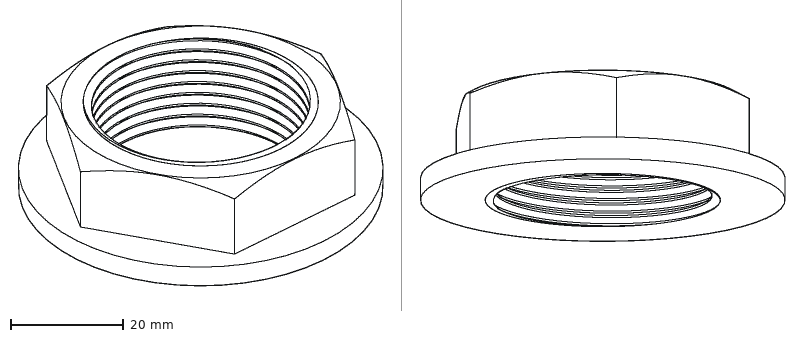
import cadquery as cq
import math

flange_diameter = 65.0
flange_thickness = 4.0
total_height = 18.0
hex_across_flats = 50.0
hex_corner_radius = hex_across_flats / 2 / math.cos(math.radians(30))

crown_radius = 49.8 / 2
crown_slope = math.radians(30)

bore_radius = 41.91 / 2
crest_radius = 38.952 / 2
pitch = 2.309
flank_angle = math.radians(55 / 2)
crest_width = pitch / 6
root_width = crest_width + 2 * (bore_radius - crest_radius) * math.tan(flank_angle)
top_crest_angle = 14.0


def crown_blank():
    """Turned blank whose conical top edge bevels the hexagon corners."""
    drop = (hex_corner_radius - crown_radius) * math.tan(crown_slope)
    return (
        cq.Workplane("XZ")
        .lineTo(hex_corner_radius, 0)
        .lineTo(hex_corner_radius, total_height - drop)
        .lineTo(crown_radius, total_height)
        .lineTo(0, total_height)
        .close()
        .revolve(360, (0, 0, 0), (0, 1, 0))
    )


def make_nut():
    """Crowned hexagon on a round flange, with a plain bore for the thread ridge."""
    hexagon = (
        cq.Workplane("XY")
        .transformed(rotate=(0, 0, 30))
        .polygon(6, 2 * hex_corner_radius)
        .extrude(total_height)
        .intersect(crown_blank())
    )
    flange = cq.Workplane("XY").circle(flange_diameter / 2).extrude(flange_thickness)
    bore = cq.Workplane("XY").circle(bore_radius).extrude(total_height)
    return flange.union(hexagon).cut(bore)


def helical_ridge(turns):
    """Right-hand trapezoidal ridge, centred on the X axis at z = 0 where it starts."""
    rise = turns * pitch
    corners = [
        (bore_radius, -root_width / 2),
        (bore_radius, root_width / 2),
        (crest_radius, crest_width / 2),
        (crest_radius, -crest_width / 2),
    ]
    edges = [
        cq.Wire.makeHelix(pitch, rise, radius, cq.Vector(0, 0, z)).Edges()[0]
        for radius, z in corners
    ]
    sides = [cq.Face.makeRuledSurface(edges[i - 1], edges[i]) for i in range(len(edges))]
    start_outline = cq.Wire.makePolygon([cq.Vector(radius, 0, z) for radius, z in corners], close=True)
    start_cap = cq.Face.makeFromWires(start_outline)
    end_cap = start_cap.translate(cq.Vector(0, 0, rise))
    return cq.Solid.makeSolid(cq.Shell.makeShell([*sides, start_cap, end_cap])).fix()


def make_thread():
    """Thread ridge lining the bore, trimmed flush with both ends of the nut."""
    turns_below_top = math.ceil(total_height / pitch) + 1
    turns_above_top = 1
    ridge = (
        cq.Workplane(helical_ridge(turns_below_top + turns_above_top))
        .translate((0, 0, total_height - turns_below_top * pitch))
        .rotate((0, 0, 0), (0, 0, 1), top_crest_angle)
    )
    trim_radius = hex_across_flats / 2
    trim = cq.Workplane("XY").circle(trim_radius).extrude(total_height)
    return ridge.intersect(trim)


nut = make_nut()
thread = make_thread()
result = cq.Compound.makeCompound([nut.val(), *thread.solids().vals()])